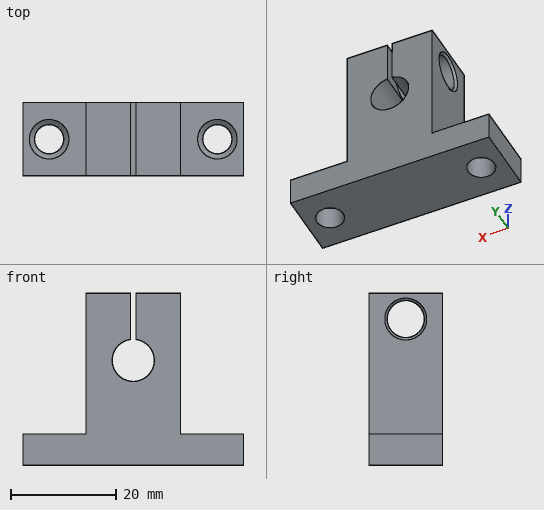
import cadquery as cq

base_length = 42.0
depth = 14.0
base_height = 6.0

total_height = 32.8
block_width = 18.0

bore_diameter = 8.0
bore_height = 20.0
slit_width = 1.0

mount_diameter = 5.5
mount_rim_diameter = 7.5
mount_spacing = 32.0

screw_diameter = 7.0
screw_rim_diameter = 8.0
screw_height = 27.85


def make_body():
    """Inverted T: base plate with the clamp block standing in its middle."""
    base = cq.Workplane("XY").box(base_length, depth, base_height, centered=(True, True, False))
    block = cq.Workplane("XY").box(block_width, depth, total_height, centered=(True, True, False))
    return base.union(block)


def chamfered_hole(plane, hole_diameter, rim_diameter, length):
    """Hole cutter running down from the plane, with a 45 degree cone at its mouth."""
    rim_radius = rim_diameter / 2
    hole_radius = hole_diameter / 2
    chamfer_depth = rim_radius - hole_radius
    return (
        cq.Workplane("XZ")
        .lineTo(rim_radius, 0)
        .lineTo(hole_radius, -chamfer_depth)
        .lineTo(hole_radius, -length)
        .lineTo(0, -length)
        .close()
        .revolve(360, (0, 0, 0), (0, 1, 0))
        .val()
        .moved(cq.Location(plane))
    )


def make_bore():
    return (
        cq.Workplane("XZ")
        .center(0, bore_height)
        .circle(bore_diameter / 2)
        .extrude(depth / 2, both=True)
    )


def make_slit():
    slit_height = total_height - bore_height
    return (
        cq.Workplane("XY", origin=(0, 0, bore_height))
        .box(slit_width, depth, slit_height, centered=(True, True, False))
    )


result = make_body().cut(make_bore()).cut(make_slit())

for side in (-1, 1):
    mount_mouth = cq.Plane(origin=(side * mount_spacing / 2, 0, base_height))
    result = result.cut(chamfered_hole(mount_mouth, mount_diameter, mount_rim_diameter, base_height))

    screw_mouth = cq.Plane(
        origin=(side * block_width / 2, 0, screw_height), xDir=(0, 1, 0), normal=(side, 0, 0)
    )
    result = result.cut(chamfered_hole(screw_mouth, screw_diameter, screw_rim_diameter, block_width / 2))